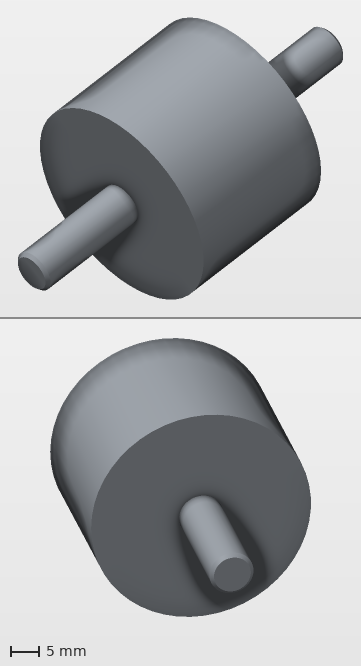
import cadquery as cq

rubber_diameter = 40.0
rubber_length = 30.0

plate_diameter = 36.0
plate_thickness = 2.0

overall_length = 76.0
stud_diameter = 8.0
stud_length = (overall_length - rubber_length) / 2
stud_chamfer = 0.65

end_face_y = rubber_length / 2
plate_inner_y = end_face_y - plate_thickness


def cylinder_along_y(diameter, start_y, length):
    """Solid cylinder on the Y axis, starting at start_y; a negative length runs towards -Y."""
    return cq.Workplane("XZ", origin=(0, start_y, 0)).circle(diameter / 2).extrude(-length)


def make_stud_plate(side):
    """End plate and its stud as one solid; side is +1 for the +Y end, -1 for the -Y end."""
    plate = cylinder_along_y(plate_diameter, side * plate_inner_y, side * plate_thickness)
    stud = cylinder_along_y(stud_diameter, side * end_face_y, side * stud_length)
    tip_selector = ">Y" if side > 0 else "<Y"
    stud = stud.faces(tip_selector).edges().chamfer(stud_chamfer)
    return plate.union(stud)


def make_rubber():
    """Rubber cylinder with a flat round recess in each end for the plates."""
    rubber = cylinder_along_y(rubber_diameter, -end_face_y, rubber_length)
    for side in (-1, 1):
        recess = cylinder_along_y(plate_diameter, side * plate_inner_y, side * plate_thickness)
        rubber = rubber.cut(recess)
    return rubber


rubber = make_rubber()
stud_plates = [make_stud_plate(side) for side in (-1, 1)]

result = cq.Compound.makeCompound([rubber.val(), *[plate.val() for plate in stud_plates]])